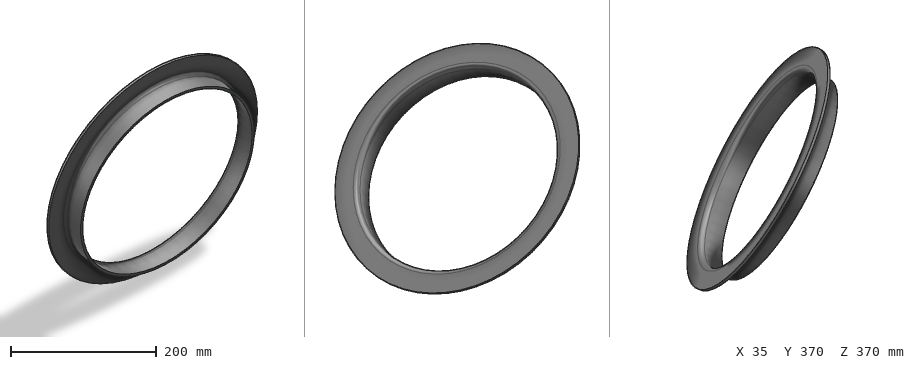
import cadquery as cq

flange_diameter = 370.0
tube_diameter = 308.0
bore_diameter = 300.0
overall_length = 35.0
flange_thickness = 4.0
corner_radius = 5.0
bore_mouth_radius = 7.0

flange_radius = flange_diameter / 2
tube_radius = tube_diameter / 2
bore_radius = bore_diameter / 2

half_section = (
    cq.Workplane("XY")
    .moveTo(0, bore_radius + bore_mouth_radius)
    .lineTo(0, flange_radius)
    .lineTo(flange_thickness, flange_radius)
    .lineTo(flange_thickness, tube_radius + corner_radius)
    .radiusArc((flange_thickness + corner_radius, tube_radius), -corner_radius)
    .lineTo(overall_length, tube_radius)
    .lineTo(overall_length, bore_radius)
    .lineTo(bore_mouth_radius, bore_radius)
    .radiusArc((0, bore_radius + bore_mouth_radius), bore_mouth_radius)
    .close()
)

result = half_section.revolve(360, (0, 0, 0), (1, 0, 0))